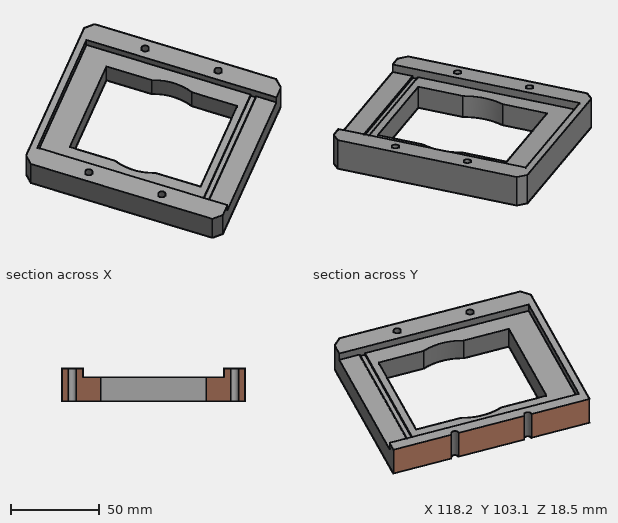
import cadquery as cq

length = 118.2
width = 103.1
height = 18.5
corner_chamfer = 4.6

end_wall = 4.1
channel_width = 79.3
channel_depth = 4.8
floor_height = height - channel_depth

groove_start = 43.6
groove_width = 3.2
groove_depth = 1.2

window_length = 78.5
window_width = 59.3
window_relief_diameter = 64.1

hole_diameter = 4.3
hole_spacing_x = 43.9
hole_spacing_y = (width + channel_width) / 2


def channel_wide_box(x_start, x_end, z_bottom, z_top):
    """Cutter spanning the channel width between two X and two Z positions."""
    return (
        cq.Workplane("XY", origin=((x_start + x_end) / 2, 0, z_bottom))
        .rect(x_end - x_start, channel_width)
        .extrude(z_top - z_bottom)
    )


def make_frame():
    return (
        cq.Workplane("XY")
        .rect(length, width)
        .extrude(height)
        .edges("|Z")
        .chamfer(corner_chamfer)
    )


def make_window():
    rectangle = cq.Workplane("XY").rect(window_length, window_width).extrude(height)
    relief = cq.Workplane("XY").circle(window_relief_diameter / 2).extrude(height)
    return rectangle.union(relief)


def make_holes():
    return (
        cq.Workplane("XY")
        .rarray(hole_spacing_x, hole_spacing_y, 2, 2)
        .circle(hole_diameter / 2)
        .extrude(height)
    )


channel = channel_wide_box(-length / 2 + end_wall, length / 2, floor_height, height)
groove = channel_wide_box(groove_start, groove_start + groove_width, floor_height - groove_depth, floor_height)

result = make_frame().cut(channel).cut(groove).cut(make_window()).cut(make_holes())